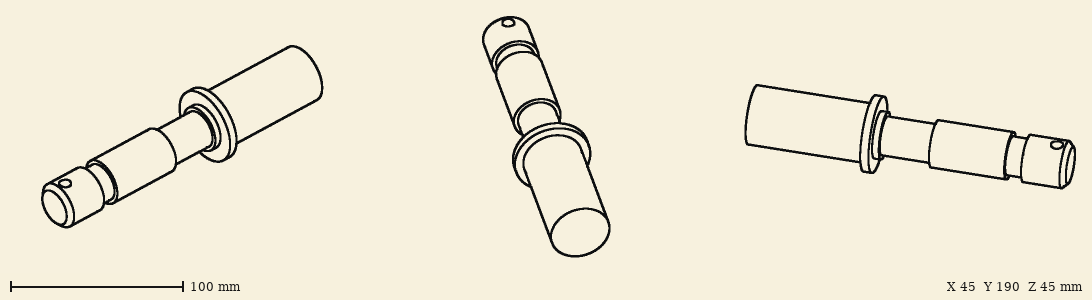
import cadquery as cq

total_length = 190.0

handle_diameter = 35.0
flange_diameter = 45.0
pin_diameter = 28.0
neck_diameter = 23.0

tip_length = 26.0
groove_length = 10.0
body_length = 45.0
neck_length = 30.0
collar_length = 4.0
flange_length = 5.0
handle_length = total_length - (
    tip_length + groove_length + body_length + neck_length + collar_length + flange_length
)

tip_chamfer = 3.0
cross_hole_diameter = 7.0
cross_hole_from_tip = 8.0

tip_y = -total_length / 2


def cylinder_along_y(diameter, start_y, length):
    """Solid cylinder on the Y axis, from start_y toward +Y."""
    start_plane = cq.Plane(origin=(0, start_y, 0), xDir=(1, 0, 0), normal=(0, 1, 0))
    return cq.Workplane(start_plane).circle(diameter / 2).extrude(length)


result = cylinder_along_y(pin_diameter, tip_y, tip_length).faces("<Y").chamfer(tip_chamfer)

sections = [
    (neck_diameter, groove_length),
    (pin_diameter, body_length),
    (neck_diameter, neck_length),
    (pin_diameter, collar_length),
    (flange_diameter, flange_length),
    (handle_diameter, handle_length),
]
section_y = tip_y + tip_length
for diameter, length in sections:
    result = result.union(cylinder_along_y(diameter, section_y, length))
    section_y += length

cross_hole = (
    cq.Workplane("XY")
    .center(0, tip_y + cross_hole_from_tip)
    .circle(cross_hole_diameter / 2)
    .extrude(pin_diameter, both=True)
)
result = result.cut(cross_hole)